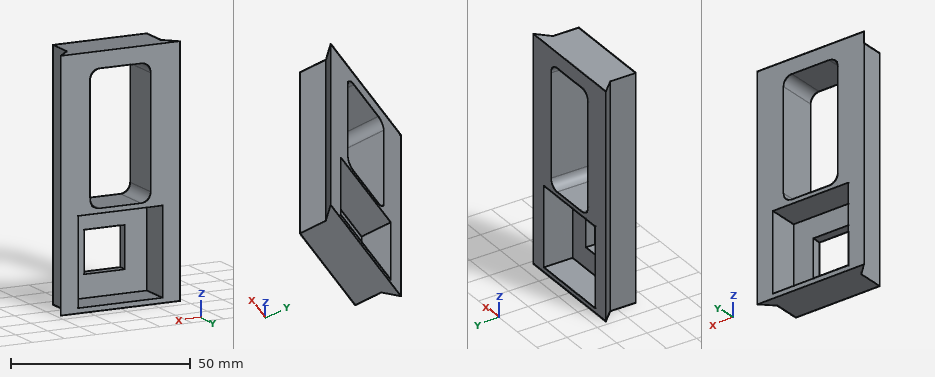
import cadquery as cq

height = 74.4
flange_width = 37.4
depth = 12.5
flange_overhang = 4.0
neck_width = flange_width - 2 * flange_overhang

window_width = 19.0
window_height = 40.0
window_radius = 3.0
window_top_margin = 5.0

opening_size = 12.7
opening_bottom_margin = 8.4
front_wall = 3.0
side_wall = 1.5
pocket_size = neck_width - 2 * side_wall

front_y = -depth / 2
back_y = depth / 2
window_z = height / 2 - window_top_margin - window_height / 2
opening_z = -height / 2 + opening_bottom_margin + opening_size / 2


def make_body():
    """Extrude the dovetail profile along Z."""
    neck_x = neck_width / 2
    flange_x = flange_width / 2
    flange_y = back_y - flange_overhang
    profile = [
        (-neck_x, front_y),
        (neck_x, front_y),
        (neck_x, flange_y),
        (flange_x, back_y),
        (-flange_x, back_y),
        (-neck_x, flange_y),
    ]
    return cq.Workplane("XY").polyline(profile).close().extrude(height / 2, both=True)


def make_window():
    """Through window with rounded corners."""
    window = cq.Workplane("XY").box(window_width, depth, window_height)
    return window.edges("|Y").fillet(window_radius).translate((0, 0, window_z))


def make_opening():
    """Square through opening with a larger square pocket behind the front wall."""
    opening = cq.Workplane("XY").box(opening_size, depth, opening_size)
    pocket_depth = depth - front_wall
    pocket = cq.Workplane("XY").box(pocket_size, pocket_depth, pocket_size)
    pocket = pocket.translate((0, back_y - pocket_depth / 2, 0))
    return opening.union(pocket).translate((0, 0, opening_z))


result = make_body().cut(make_window()).cut(make_opening())